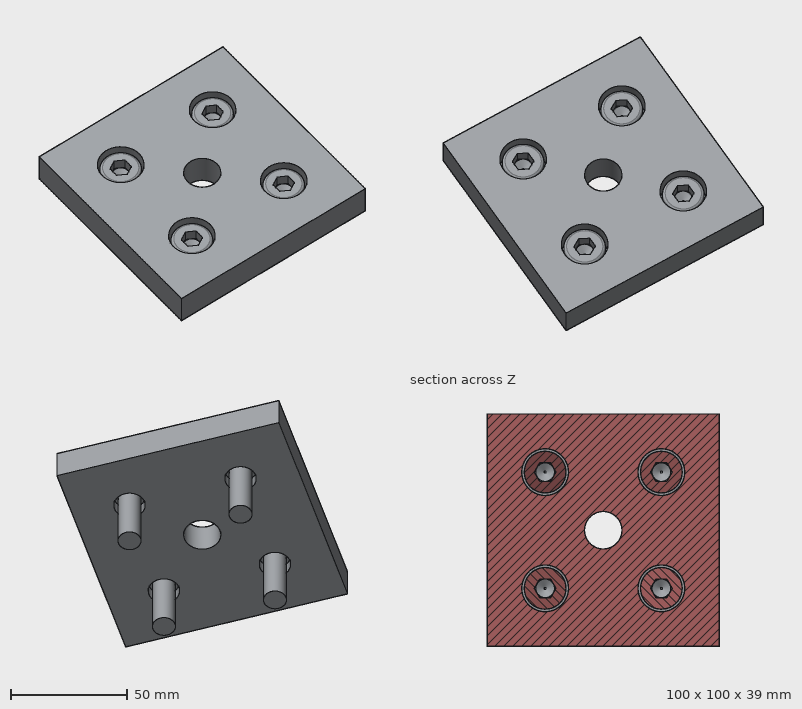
import cadquery as cq
import math

PLATE_SIDE = 100.0
PLATE_THICKNESS = 15.0
CENTRE_HOLE_DIAMETER = 16.0

BOLT_SPACING = 50.0
CLEARANCE_DIAMETER = 13.5
COUNTERBORE_DIAMETER = 20.0
COUNTERBORE_DEPTH = 9.0

HEAD_DIAMETER = 18.0
HEAD_HEIGHT = 7.0
HEAD_EDGE_RADIUS = 1.2
SHAFT_DIAMETER = 9.9
SHAFT_LENGTH = 30.0
SOCKET_ACROSS_FLATS = 8.0
SOCKET_DEPTH = 5.0
SOCKET_CONE_ANGLE = 120.0
SOCKET_TIP_DIAMETER = 0.9

SEAT_Z = -COUNTERBORE_DEPTH
HEAD_TOP_Z = SEAT_Z + HEAD_HEIGHT


def make_plate():
    """Plate with a central through hole and four counterbored holes."""
    plate = (
        cq.Workplane("XY")
        .rect(PLATE_SIDE, PLATE_SIDE)
        .extrude(-PLATE_THICKNESS)
        .faces(">Z")
        .workplane()
        .hole(CENTRE_HOLE_DIAMETER)
    )
    return (
        plate.faces(">Z")
        .workplane()
        .rect(BOLT_SPACING, BOLT_SPACING, forConstruction=True)
        .vertices()
        .cboreHole(CLEARANCE_DIAMETER, COUNTERBORE_DIAMETER, COUNTERBORE_DEPTH)
    )


def make_socket():
    """Hexagonal socket volume with a flat-tipped conical bottom, corners along X."""
    across_corners = SOCKET_ACROSS_FLATS / math.cos(math.radians(30))
    hexagon = (
        cq.Workplane("XY", origin=(0, 0, HEAD_TOP_Z))
        .polygon(6, across_corners)
        .extrude(-SOCKET_DEPTH)
    )
    cone_radius = SOCKET_ACROSS_FLATS / 2
    tip_radius = SOCKET_TIP_DIAMETER / 2
    cone_depth = (cone_radius - tip_radius) / math.tan(math.radians(SOCKET_CONE_ANGLE / 2))
    socket_floor = cq.Vector(0, 0, HEAD_TOP_Z - SOCKET_DEPTH)
    cone = cq.Solid.makeCone(cone_radius, tip_radius, cone_depth, socket_floor, cq.Vector(0, 0, -1))
    return hexagon.union(cq.Workplane(cone))


def make_bolt(x, y):
    """Socket cap screw with its head seated in the counterbore at (x, y)."""
    head = (
        cq.Workplane("XY", origin=(0, 0, SEAT_Z))
        .circle(HEAD_DIAMETER / 2)
        .extrude(HEAD_HEIGHT)
        .faces(">Z")
        .edges()
        .fillet(HEAD_EDGE_RADIUS)
    )
    shaft = (
        cq.Workplane("XY", origin=(0, 0, SEAT_Z))
        .circle(SHAFT_DIAMETER / 2)
        .extrude(-SHAFT_LENGTH)
    )
    return head.union(shaft).cut(make_socket()).translate((x, y, 0))


plate = make_plate()

bolts = []
for x in (-BOLT_SPACING / 2, BOLT_SPACING / 2):
    for y in (-BOLT_SPACING / 2, BOLT_SPACING / 2):
        bolts.append(make_bolt(x, y))

result = cq.Compound.makeCompound([plate.val(), *[bolt.val() for bolt in bolts]])